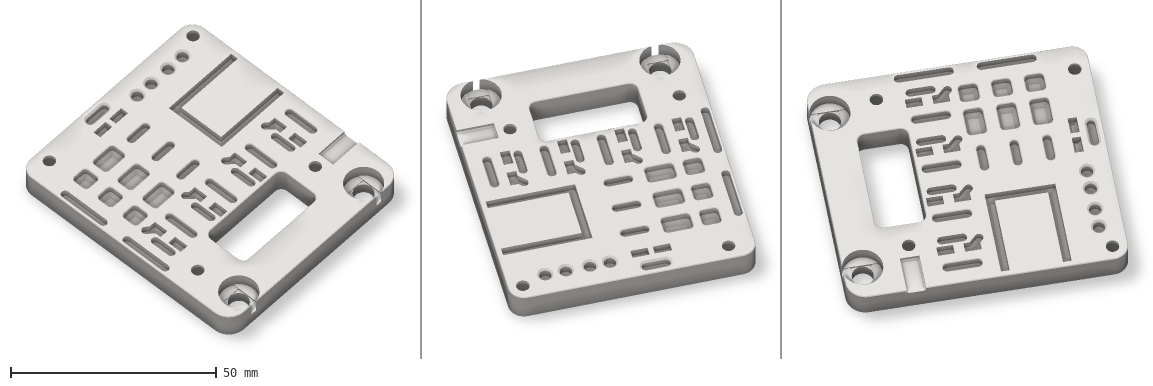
import cadquery as cq
LENGTH = 69.8
WIDTH = 62.05
TOP = 8.0
PAD_HEIGHT = 0.85
LEFT_CORNER_RADIUS = 4.0
RIGHT_CORNER_RADIUS = 4.95
RIM = 0.2

PAD_LEFT = 26.8
PAD_RIGHT = 32.8
PAD_HALF_LENGTH = 29.1
PAD_BEVEL = 0.35
PAD_CLEARANCE_DIAMETER = 6.85

FASTENER_X = 29.95
FASTENER_Y = 22.5
FASTENER_DIAMETER = 5.4
HEAD_RADIUS = 5.0
HEAD_DEPTH = 3.5
STEP_DEPTH = 0.3

SCREW_POINTS = [(-31.05, 27.35), (-31.05, -24.35), (17.8, 18.3), (18.1, -24.35)]
SCREW_DIAMETER = 3.3
SCREW_BORE_DIAMETER = 4.7
SCREW_LAND = 1.0

WINDOW_LEFT = 12.1
WINDOW_RIGHT = 24.8
WINDOW_HALF_WIDTH_Y = 13.6
WINDOW_Y = -1.55
WINDOW_RADIUS = 2.0

WALL_DEPTH = 2.0
TAPER_TOP = TOP - WALL_DEPTH
POCKET_TAPER = 1.0
SLOT_WIDTH = 2.15
SLOT_TAPER = SLOT_WIDTH / 2 - 0.035

FUNNEL_X = -28.8
FUNNEL_Y = [21.15, 16.0, 9.9, 4.9]
FUNNEL_DIAMETER = 3.0
WIDE_RIM = 0.5

SIDE_SLOT = (-32.2, -5.85)
SIDE_SLOT_LENGTH = 7.2
WELL_LEFT = -29.0
WELL_RIGHT = -26.8
WELL_TAPER = 0.85
WELL_END_TAPER = 0.35

GROOVE_LEFT = -20.5
GROOVE_RIGHT = -3.0
GROOVE_BOTTOM = 7.2
GROOVE_END = 29.65

NOTCH_LEFT = 15.8
NOTCH_RIGHT = 20.6
NOTCH_BOTTOM = 21.65
NOTCH_WALL = 0.7
NOTCH_TAPER = 0.5

COLUMN_X = [-20.9, -12.7, -4.5]
COLUMN_SLOT_Y = -3.35
COLUMN_SLOT_LENGTH = 7.2
COLUMN_POCKET_WIDTH = 4.8
COLUMN_POCKETS = [(-13.95, 7.3), (-22.3, 4.75)]
COLUMN_POCKET_RADIUS = 1.05
COLUMN_POCKET_TAPER = 1.05

EDGE_SLOT_X = [-15.1, 5.45]
EDGE_SLOT_Y = -29.25
EDGE_SLOT_LENGTH = 14.8

GROUP_COUNT = 4
GROUP_PITCH = 14.4
FIRST_GROUP_Y = 26.1
LONG_SLOT_X = 5.85
LONG_SLOT_LENGTH = 9.8
SHORT_SLOT_X = 7.05
SHORT_SLOT_DROP = 7.75
SHORT_SLOT_LENGTH = 7.4
PIN_POCKET_X = [2.5, 9.2]
PIN_POCKET_SIZE = (4.1, 2.45)
PIN_POCKET_DROP = 4.8
LEG_POCKET_X = 0.7
LEG_POCKET_SIZE = (3.2, 3.6)
LEG_POCKET_DROP = 7.8
LEG_POCKET_RADIUS = 0.85
LINK_X = 1.25
LINK_DROP = 6.3
LINK_LENGTH = 4.2
LINK_ANGLE = 45


def block(x0, x1, y0, y1, z0, z1):
    """Axis-aligned box between the given limits."""
    return cq.Workplane("XY").box(x1 - x0, y1 - y0, z1 - z0, centered=False).translate((x0, y0, z0))


def cylinder(x, y, diameter, z0, z1):
    """Upright cylinder between two heights."""
    return cq.Workplane("XY", origin=(x, y, z0)).circle(diameter / 2).extrude(z1 - z0)


def stadium_layer(straight, radius, z, depth, inset):
    """Stadium along X going down from z, narrowing by inset on every side."""
    half_section = [(0, z), (radius, z), (radius - inset, z - depth), (0, z - depth)]
    end = cq.Workplane("XZ").polyline(half_section).close().revolve(360, (0, 0), (0, 1))
    section = [(-radius, z), (radius, z), (radius - inset, z - depth), (inset - radius, z - depth)]
    layer = cq.Workplane("YZ", origin=(-straight / 2, 0, 0)).polyline(section).close().extrude(straight)
    for side in (-1, 1):
        layer = layer.union(end.translate((side * straight / 2, 0, 0)))
    return layer


def slot(x, y, length, rim=0.0, angle=0):
    """Round-ended slot with a V bottom; length is the opening without its rim bevel."""
    straight = length - SLOT_WIDTH
    radius = SLOT_WIDTH / 2
    cutter = stadium_layer(straight, radius, TOP, WALL_DEPTH, 0)
    cutter = cutter.union(stadium_layer(straight, radius, TAPER_TOP, SLOT_TAPER, SLOT_TAPER))
    if rim:
        cutter = cutter.union(stadium_layer(straight, radius + rim, TOP, rim, rim))
    return cutter.rotate((0, 0, 0), (0, 0, 1), angle).translate((x, y, 0))


def pocket(x, y, size_x, size_y, taper=POCKET_TAPER, radius=0.0, rounded="|Z"):
    """Rectangular pocket tapering to a flat floor; the chosen corners are rounded."""
    depth = WALL_DEPTH + taper
    cutter = cq.Workplane("XY", origin=(x, y, TOP - depth)).rect(size_x, size_y).extrude(depth)
    if radius:
        cutter = cutter.edges(rounded).fillet(radius)
    return cutter.faces("<Z").chamfer(taper)


def rim_bevel(x, y, size_x, size_y, radius):
    """Bevel around a round-cornered rectangular opening in the top face."""
    return (
        cq.Workplane("XY", origin=(x, y, TOP))
        .sketch()
        .rect(size_x + 2 * RIM, size_y + 2 * RIM)
        .vertices()
        .fillet(radius + RIM)
        .finalize()
        .extrude(-RIM, taper=45)
    )


def tapered_floor(mouth, floor, z, depth):
    """Straight-sided taper from a mouth rectangle at z down to a floor; limits are x0, x1, y0, y1."""
    mouth_x, mouth_y = (mouth[0] + mouth[1]) / 2, (mouth[2] + mouth[3]) / 2
    floor_x, floor_y = (floor[0] + floor[1]) / 2, (floor[2] + floor[3]) / 2
    return (
        cq.Workplane("XY", origin=(mouth_x, mouth_y, z))
        .rect(mouth[1] - mouth[0], mouth[3] - mouth[2])
        .workplane(offset=-depth)
        .center(floor_x - mouth_x, floor_y - mouth_y)
        .rect(floor[1] - floor[0], floor[3] - floor[2])
        .loft(ruled=True)
    )


def plate():
    body = block(-LENGTH / 2, LENGTH / 2, -WIDTH / 2, WIDTH / 2, PAD_HEIGHT, TOP)
    body = body.edges("|Z and <X").fillet(LEFT_CORNER_RADIUS)
    body = body.edges("|Z and >X").fillet(RIGHT_CORNER_RADIUS)
    return body.faces(">Z").chamfer(RIM)


def pads():
    """Strip under the right side, parted by a round gap at each fastener."""
    strip = block(PAD_LEFT, PAD_RIGHT, -PAD_HALF_LENGTH, PAD_HALF_LENGTH, 0, PAD_HEIGHT)
    strip = strip.edges("<X and <Z").chamfer(PAD_BEVEL)
    for y in (-FASTENER_Y, FASTENER_Y):
        strip = strip.cut(cylinder(FASTENER_X, y, PAD_CLEARANCE_DIAMETER, 0, PAD_HEIGHT))
    return strip


def fastener_hole(y):
    """Head recess, a slotted step, a square step and a through hole."""
    half = FASTENER_DIAMETER / 2
    seat = TOP - HEAD_DEPTH
    slotted = cylinder(FASTENER_X, y, 2 * HEAD_RADIUS, seat - STEP_DEPTH, seat).intersect(
        block(FASTENER_X - HEAD_RADIUS, FASTENER_X + HEAD_RADIUS, y - half, y + half, 0, TOP)
    )
    square_floor = seat - 2 * STEP_DEPTH
    square = block(FASTENER_X - half, FASTENER_X + half, y - half, y + half, square_floor, seat)
    recess = cylinder(FASTENER_X, y, 2 * HEAD_RADIUS, seat, TOP)
    return recess.union(slotted).union(square).union(cylinder(FASTENER_X, y, FASTENER_DIAMETER, 0, seat))


def screw_hole(x, y):
    """Screw clearance with a wider bore from below."""
    bore = cylinder(x, y, SCREW_BORE_DIAMETER, 0, TOP - SCREW_LAND)
    return bore.union(cylinder(x, y, SCREW_DIAMETER, 0, TOP))


def window():
    width = WINDOW_RIGHT - WINDOW_LEFT
    height = 2 * WINDOW_HALF_WIDTH_Y
    x = (WINDOW_LEFT + WINDOW_RIGHT) / 2
    opening = cq.Workplane("XY", origin=(x, WINDOW_Y, 0)).rect(width, height).extrude(TOP)
    opening = opening.edges("|Z").fillet(WINDOW_RADIUS)
    return opening.union(rim_bevel(x, WINDOW_Y, width, height, WINDOW_RADIUS))


def funnel(y):
    """Round blind hole with a bevelled mouth and a conical bottom."""
    radius = FUNNEL_DIAMETER / 2
    wall_end = TOP - WIDE_RIM - WALL_DEPTH
    profile = [
        (0, TOP),
        (radius + WIDE_RIM, TOP),
        (radius, TOP - WIDE_RIM),
        (radius, wall_end),
        (0, wall_end - radius),
    ]
    turned = cq.Workplane("XZ").polyline(profile).close().revolve(360, (0, 0), (0, 1))
    return turned.translate((FUNNEL_X, y, 0))


def well(y0, y1, low_taper, high_taper):
    """Small square-cornered pocket whose two ends taper by their own amounts."""
    mouth = (WELL_LEFT, WELL_RIGHT, y0, y1)
    floor = (WELL_LEFT + WELL_TAPER, WELL_RIGHT - WELL_TAPER, y0 + low_taper, y1 - high_taper)
    return block(*mouth, TAPER_TOP, TOP).union(tapered_floor(mouth, floor, TAPER_TOP, WELL_TAPER))


def frame_groove():
    """U-shaped groove with a V bottom, open toward +Y around a raised tongue."""
    half = SLOT_WIDTH / 2
    left, right = GROOVE_LEFT + half, GROOVE_RIGHT - half
    bottom = GROOVE_BOTTOM + half
    path = cq.Workplane("XY", origin=(0, 0, TOP)).polyline(
        [(left, GROOVE_END), (left, bottom), (right, bottom), (right, GROOVE_END)]
    )
    section = [(-half, 0), (half, 0), (half, -WALL_DEPTH), (0, -WALL_DEPTH - half), (-half, -WALL_DEPTH)]
    start = cq.Workplane("XZ", origin=(left, GROOVE_END, TOP))
    return start.polyline(section).close().sweep(path, transition="right")


def edge_notch():
    """Shallow notch with tapered sides, open at the back edge."""
    back = WIDTH / 2
    mouth = (NOTCH_LEFT, NOTCH_RIGHT, NOTCH_BOTTOM, back)
    floor = (NOTCH_LEFT + NOTCH_TAPER, NOTCH_RIGHT - NOTCH_TAPER, NOTCH_BOTTOM + NOTCH_TAPER, back)
    wall_end = TOP - NOTCH_WALL
    return block(*mouth, wall_end, TOP).union(tapered_floor(mouth, floor, wall_end, NOTCH_TAPER))


def column(x):
    """One slot above two round-cornered pockets."""
    cutters = [slot(x, COLUMN_SLOT_Y, COLUMN_SLOT_LENGTH, RIM, angle=90)]
    for y, size_y in COLUMN_POCKETS:
        size = (COLUMN_POCKET_WIDTH, size_y)
        cutters.append(pocket(x, y, *size, COLUMN_POCKET_TAPER, COLUMN_POCKET_RADIUS))
        cutters.append(rim_bevel(x, y, *size, COLUMN_POCKET_RADIUS))
    return cutters


def group(y):
    """Long slot, short slot, two pin pockets and a leg pocket linked to the left one."""
    cutters = [
        slot(LONG_SLOT_X, y, LONG_SLOT_LENGTH, RIM),
        slot(SHORT_SLOT_X, y - SHORT_SLOT_DROP, SHORT_SLOT_LENGTH),
        slot(LINK_X, y - LINK_DROP, LINK_LENGTH, angle=LINK_ANGLE),
    ]
    for x in PIN_POCKET_X:
        cutters.append(pocket(x, y - PIN_POCKET_DROP, *PIN_POCKET_SIZE))
    lower_right = "|Z and >X and <Y"
    leg_y = y - LEG_POCKET_DROP
    leg = pocket(LEG_POCKET_X, leg_y, *LEG_POCKET_SIZE, radius=LEG_POCKET_RADIUS, rounded=lower_right)
    return cutters + [leg]


cuts = [fastener_hole(y) for y in (-FASTENER_Y, FASTENER_Y)]
cuts += [screw_hole(x, y) for x, y in SCREW_POINTS]
cuts += [funnel(y) for y in FUNNEL_Y]
cuts += [window(), frame_groove(), edge_notch()]
cuts += [slot(*SIDE_SLOT, SIDE_SLOT_LENGTH, WIDE_RIM, angle=90)]
cuts += [well(-5.0, -0.7, 0, WELL_END_TAPER), well(-10.7, -6.35, WELL_END_TAPER, 0)]
cuts += [slot(x, EDGE_SLOT_Y, EDGE_SLOT_LENGTH) for x in EDGE_SLOT_X]
for column_x in COLUMN_X:
    cuts += column(column_x)
for index in range(GROUP_COUNT):
    cuts += group(FIRST_GROUP_Y - index * GROUP_PITCH)

result = plate().union(pads())
for cutter in cuts:
    result = result.cut(cutter)